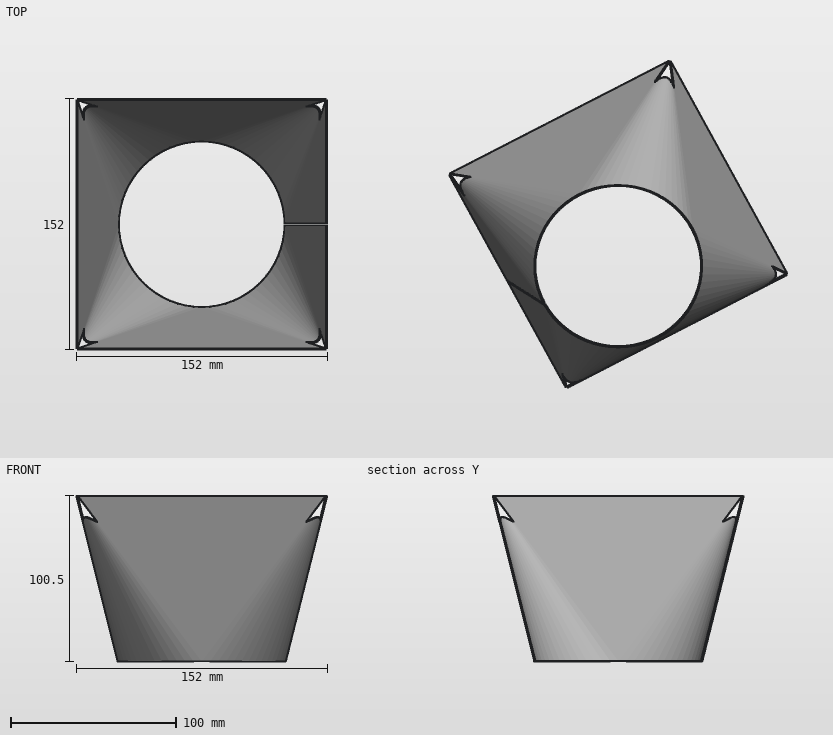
import cadquery as cq
import math

outer_side = 152.0
height = 100.0
sheet = 1.0
side_slope = 0.25
facets_per_corner = 16
facet_end_width = 0.62
seam_gap = 1.0

half_square = outer_side / 2 - sheet * math.cos(math.atan(side_slope))
round_radius = half_square - side_slope * height
facet_angle = 90.0 / facets_per_corner


def round_point(degrees):
    """Point on the inner edge of the round mouth."""
    angle = math.radians(degrees)
    return cq.Vector(round_radius * math.cos(angle), round_radius * math.sin(angle), 0)


def square_corner(quarter):
    """Inner corner of the square mouth, counted from the +X +Y one."""
    x, y = [(1, 1), (-1, 1), (-1, -1), (1, -1)][quarter % 4]
    return cq.Vector(x * half_square, y * half_square, height)


def panel_normal(first, second, third):
    """Outward normal of a panel whose inner face runs counterclockwise seen from outside."""
    return (second - first).cross(third - first).normalized()


def panel(points, normal):
    """Flat panel of sheet whose inner face has the given outline."""
    return cq.Solid.extrudeLinear(cq.Wire.makePolygon(points, close=True), [], normal * sheet)


def tip_gap(corner, degrees):
    """Distance from the corner at which a facet around this foot narrows to the end width."""
    before = (round_point(degrees - facet_angle / 2) - corner).normalized()
    after = (round_point(degrees + facet_angle / 2) - corner).normalized()
    return facet_end_width / (after - before).Length


def bend(tip, foot, normal_before, normal_after):
    """Thin wedge that fills the outside of the bend line from foot to tip."""
    profile = [foot, foot + normal_before * sheet, foot + normal_after * sheet]
    return cq.Solid.extrudeLinear(cq.Wire.makePolygon(profile, close=True), [], tip - foot)


def side_outline(quarter):
    """Inner triangle of a flat side, from one edge of the square mouth to a point on the round one."""
    return [round_point(90 * quarter), square_corner(quarter), square_corner(quarter - 1)]


def side_normal(quarter):
    """Outward normal of the flat side centred at the given quarter turn."""
    return panel_normal(*side_outline(quarter))


def corner_fan(quarter):
    """Facets and bends that fan out from one corner of the square mouth."""
    corner = square_corner(quarter)
    turns = [90 * quarter + i * facet_angle for i in range(facets_per_corner + 1)]
    feet = [round_point(turn) for turn in turns]
    gaps = [tip_gap(corner, turn) for turn in turns]
    tips = [corner + (foot - corner).normalized() * gap for foot, gap in zip(feet, gaps)]
    normals = [side_normal(quarter)]
    solids = []
    for i in range(facets_per_corner):
        normal = panel_normal(feet[i], feet[i + 1], corner)
        solids.append(panel([feet[i], feet[i + 1], tips[i + 1], tips[i]], normal))
        normals.append(normal)
    normals.append(side_normal(quarter + 1))
    for i, foot in enumerate(feet):
        solids.append(bend(tips[i], foot, normals[i], normals[i + 1]))
    return solids


solids = []
for quarter in range(4):
    solids.append(panel(side_outline(quarter), side_normal(quarter)))
    solids.extend(corner_fan(quarter))
body = cq.Workplane(solids[0].fuse(*solids[1:]))

seam = cq.Workplane().box(outer_side, seam_gap, 3 * height, centered=(False, True, True))
result = cq.Workplane(body.cut(seam).solids().val())